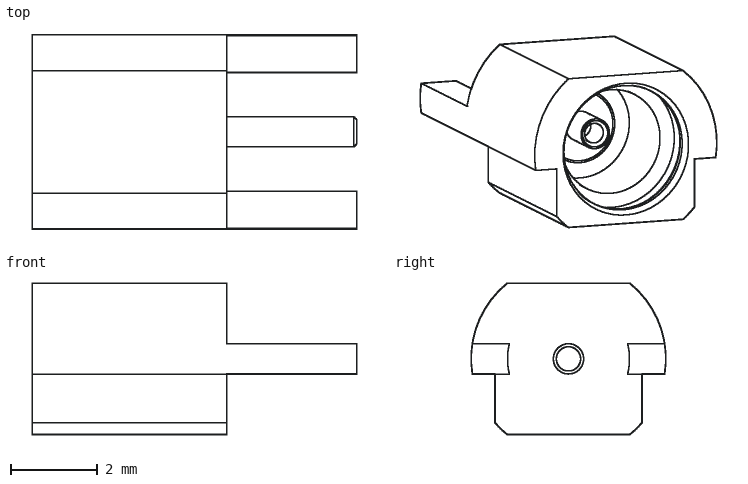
import cadquery as cq

body_length = 4.5
overall_length = 7.5
body_radius = 2.25
body_height = 3.5

leg_thickness = 0.7
ledge_z = -leg_thickness / 2
base_width = 3.4

leg_inner_radius = 1.41

mouth_radius = 1.55
throat_radius = 1.46
groove_radius = 1.53
bore_radius = 1.22
throat_start = 0.18
throat_end = 0.31
groove_start = 0.51
groove_end = 0.88
bore_start = 0.99
bore_floor = 3.0

gap_outer_radius = 0.86
insulator_radius = 0.815
gap_depth = 0.5

contact_radius = 0.35
contact_front = 2.0
contact_hole_radius = 0.23
contact_hole_depth = 0.9
contact_lead_in = 0.08
pin_tip_chamfer = 0.07


def bar(radius, start, end):
    """Round bar on the X axis."""
    return cq.Workplane("YZ").workplane(offset=start).circle(radius).extrude(end - start)


def box_between(start, end, width, bottom, top):
    """Box centred on Y, between two X positions and two Z heights."""
    box = cq.Workplane("XY").box(end - start, width, top - bottom, centered=(False, True, False))
    return box.translate((start, 0, bottom))


def revolved(half_section):
    """Solid of revolution about X from (x, radius) points."""
    return cq.Workplane("XY").polyline(half_section).close().revolve(360, (0, 0, 0), (1, 0, 0))


def make_shell():
    half_height = body_height / 2
    bottom_limits = box_between(0, body_length, base_width, -half_height, ledge_z)
    top_limits = box_between(0, body_length, 2 * body_radius, ledge_z, half_height)
    return bar(body_radius, 0, body_length).intersect(top_limits.union(bottom_limits))


def make_legs():
    ring = bar(body_radius, body_length, overall_length)
    ring = ring.cut(bar(leg_inner_radius, body_length, overall_length))
    slab = box_between(body_length, overall_length, 2 * body_radius, ledge_z, -ledge_z)
    return ring.intersect(slab)


def make_socket():
    half_section = [
        (0, 0),
        (0, mouth_radius),
        (throat_start, throat_radius),
        (throat_end, throat_radius),
        (groove_start, groove_radius),
        (groove_end, groove_radius),
        (bore_start, bore_radius),
        (bore_floor, bore_radius),
        (bore_floor, 0),
    ]
    return revolved(half_section)


def make_insulator_gap():
    gap_end = bore_floor + gap_depth
    return bar(gap_outer_radius, bore_floor, gap_end).cut(bar(insulator_radius, bore_floor, gap_end))


def make_contact():
    hole_end = contact_front + contact_hole_depth
    half_section = [
        (contact_front, contact_hole_radius + contact_lead_in),
        (contact_front, contact_radius),
        (overall_length - pin_tip_chamfer, contact_radius),
        (overall_length, contact_radius - pin_tip_chamfer),
        (overall_length, 0),
        (hole_end, 0),
        (hole_end, contact_hole_radius),
        (contact_front + contact_lead_in, contact_hole_radius),
    ]
    return revolved(half_section)


result = make_shell().cut(make_socket()).cut(make_insulator_gap()).union(make_legs())
result = result.union(make_contact())